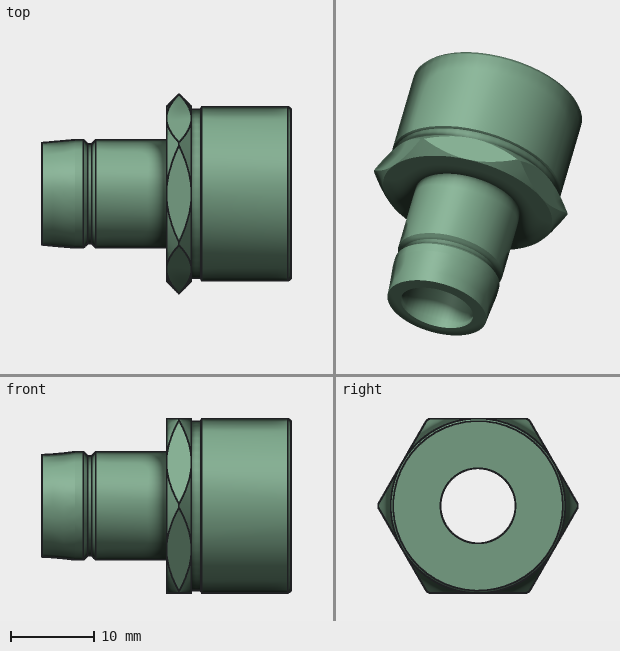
import cadquery as cq
import math

total_length = 30.0
taper_length = 4.0
groove_start = 5.0
groove_end = 6.5
hex_start = 15.0
hex_width = 3.0
neck_length = 1.1

bore_diameter = 9.0
spigot_radius = 6.5
tip_drop = 0.35
groove_depth = 0.5
across_flats = 21.0
neck_drop = 0.3

front_chamfer_length = 0.15
rear_chamfer_length = 0.4
rear_chamfer_drop = 0.3

hex_end = hex_start + hex_width
hex_middle = hex_start + hex_width / 2
socket_start = hex_end + neck_length
socket_radius = across_flats / 2
neck_radius = socket_radius - neck_drop
axis_start = (0, 0, 0)
axis_end = (1, 0, 0)


def revolved(points):
    """Revolve an outline of (x, radius) points, closed along the X axis."""
    return cq.Workplane("XY").polyline(points).close().revolve(360, axis_start, axis_end)


def spigot():
    """Plain tube end with a tapered tip and a V-sided retaining groove."""
    groove_radius = spigot_radius - groove_depth
    return revolved([
        (0, 0),
        (0, spigot_radius - tip_drop),
        (taper_length, spigot_radius),
        (groove_start, spigot_radius),
        (groove_start + groove_depth, groove_radius),
        (groove_end - groove_depth, groove_radius),
        (groove_end, spigot_radius),
        (hex_middle, spigot_radius),
        (hex_middle, 0),
    ])


def hexagon():
    """Hexagon with corners along Y, chamfered at 45 degrees from both faces."""
    across_corners = across_flats / math.cos(math.pi / 6)
    prism = (
        cq.Workplane("YZ", origin=(hex_start, 0, 0))
        .polygon(6, across_corners)
        .extrude(hex_width)
    )
    face_radius = across_flats / 2
    double_cone = revolved([
        (hex_start, 0),
        (hex_start, face_radius),
        (hex_middle, face_radius + hex_width / 2),
        (hex_end, face_radius),
        (hex_end, 0),
    ])
    return prism.intersect(double_cone)


def socket():
    """Large cylindrical body joined to the hexagon by a narrower neck."""
    return revolved([
        (hex_middle, 0),
        (hex_middle, neck_radius),
        (socket_start, neck_radius),
        (socket_start + front_chamfer_length, socket_radius),
        (total_length - rear_chamfer_length, socket_radius),
        (total_length, socket_radius - rear_chamfer_drop),
        (total_length, 0),
    ])


bore = cq.Workplane("YZ").circle(bore_diameter / 2).extrude(total_length)

result = spigot().union(hexagon()).union(socket()).cut(bore)